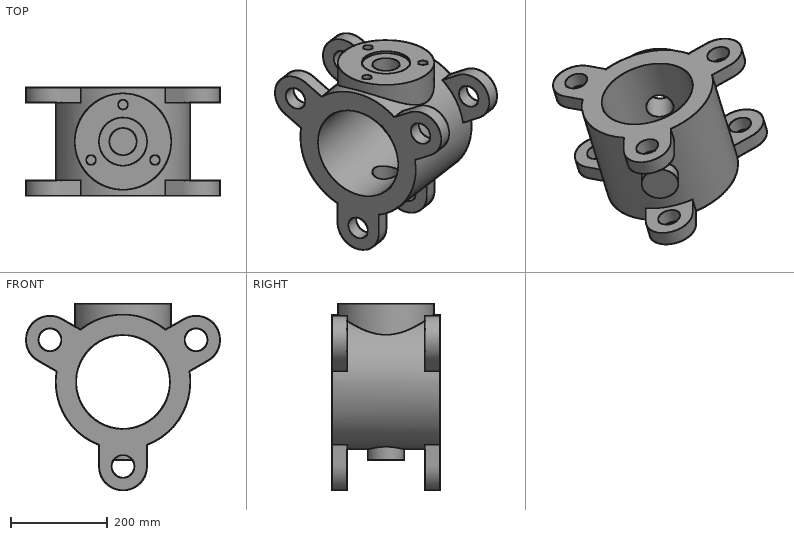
import cadquery as cq
import math

length = 225.0
barrel_radius = 140.0
bore_radius = 97.0

overall_width = 403
lug_radius = 50.0
lug_hole_radius = 23.5
lug_thickness = 32.0
lug_angles = (30, 150, 270)
lug_distance = (overall_width / 2 - lug_radius) / math.cos(math.radians(lug_angles[0]))

boss_radius = 100.0
boss_top = 162.5
recess_radius = 50.0
recess_depth = 5.0
port_radius = 28.2
bolt_hole_radius = 10.0
bolt_hole_depth = 20.0
bolt_circle_radius = 76.5
bolt_angles = (90, 210, 330)

foot_radius = 38.0
foot_bottom = -162.0
pocket_radius = 28.2
pocket_floor = -145.0


def cylinder_y(radius, depth, y_start, x=0, z=0):
    """Cylinder along +Y from y_start."""
    base = cq.Workplane("XZ", origin=(x, y_start, z))
    return base.circle(radius).extrude(-depth)


def cylinder_z(radius, z_low, z_high, x=0, y=0):
    """Vertical cylinder between two heights."""
    base = cq.Workplane("XY", origin=(x, y, z_low))
    return base.circle(radius).extrude(z_high - z_low)


def lug(angle, y_start):
    """Round-ended arm reaching out from the barrel axis, pierced near its tip."""
    arm = (
        cq.Workplane("XY")
        .box(lug_distance, lug_thickness, 2 * lug_radius, centered=(False, False, True))
        .translate((0, y_start, 0))
    )
    tip = cylinder_y(lug_radius, lug_thickness, y_start, x=lug_distance)
    hole = cylinder_y(lug_hole_radius, lug_thickness, y_start, x=lug_distance)
    return arm.union(tip).cut(hole).rotate((0, 0, 0), (0, -1, 0), angle)


body = cylinder_y(barrel_radius, length, -length / 2)
body = body.union(cylinder_z(boss_radius, 0, boss_top))
body = body.union(cylinder_z(foot_radius, foot_bottom, 0))
for y_start in (-length / 2, length / 2 - lug_thickness):
    for angle in lug_angles:
        body = body.union(lug(angle, y_start))

body = body.cut(cylinder_y(bore_radius, length, -length / 2))
body = body.cut(cylinder_z(port_radius, 0, boss_top))
body = body.cut(cylinder_z(recess_radius, boss_top - recess_depth, boss_top))
body = body.cut(cylinder_z(pocket_radius, pocket_floor, 0))

for angle in bolt_angles:
    x = bolt_circle_radius * math.cos(math.radians(angle))
    y = bolt_circle_radius * math.sin(math.radians(angle))
    body = body.cut(cylinder_z(bolt_hole_radius, boss_top - bolt_hole_depth, boss_top, x, y))

result = body